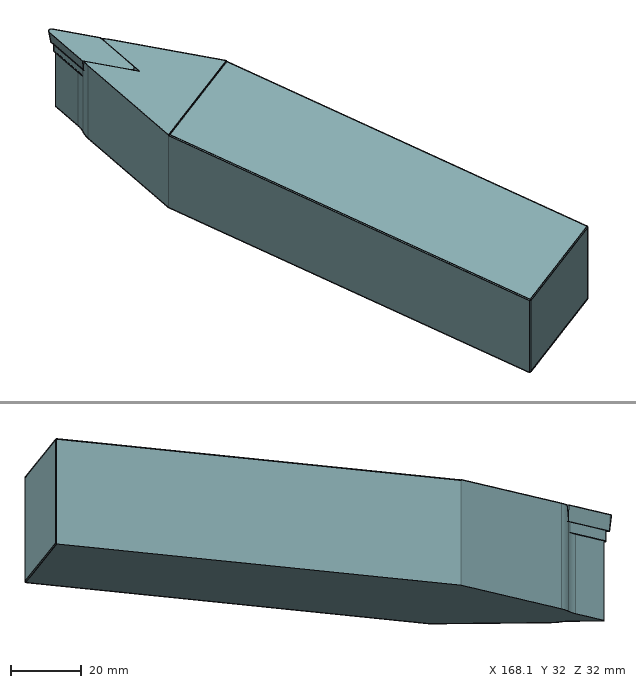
import cadquery as cq
import math

overall_length = 168.14
shank_width = 32.0
tool_height = 32.0
shank_chamfer = 0.3

point_angle = 35.0
inscribed_circle = 9.525
nose_radius = 0.8
insert_thickness = 4.76
relief_angle = 7.0

shim_thickness = 3.18
shim_inset = 0.7
shim_nose_radius = 0.5
support_inset = 1.0
support_nose_radius = 0.3
blend_shift = 0.2
blend_radius = 7.5

half_angle = math.radians(point_angle / 2)
sine = math.sin(half_angle)
cosine = math.cos(half_angle)
slope = math.tan(half_angle)
half_length = inscribed_circle / 2 / sine
half_width = inscribed_circle / 2 / cosine
flank_apex = -nose_radius * (1 / sine - 1)
insert_centre = flank_apex + half_length
pocket_apex = insert_centre + half_length
shank_start = flank_apex + shank_width / 2 / slope
seat_height = tool_height - insert_thickness
support_height = seat_height - shim_thickness
blend_half_length = math.sqrt(blend_radius * support_inset - support_inset**2 / 4)
blend_turn = math.asin(blend_half_length / blend_radius)


def flank_point(along, inset=0.0):
    """Point on the +Y flank, a distance along it from the insert's corner, moved inwards."""
    return (
        insert_centre + along * cosine + inset * sine,
        half_width + along * sine - inset * cosine,
    )


def mirrored(point):
    """The same point on the -Y side."""
    return (point[0], -point[1])


def nose_points(inset, radius):
    """Tip and +Y tangent point of a rounded nose between two inset flanks."""
    centre = flank_apex + (inset + radius) / sine
    return (centre - radius, 0), (centre - radius * sine, radius * cosine)


def make_insert():
    """Insert with both sharp corners rounded, tapering downwards by its relief angle."""
    tip, tangent = nose_points(0, nose_radius)
    corner = (insert_centre, half_width)

    def far_end(point):
        """The same point at the rear end of the insert."""
        return (2 * insert_centre - point[0], point[1])

    return (
        cq.Workplane("XY", origin=(0, 0, tool_height))
        .moveTo(*mirrored(tangent))
        .threePointArc(tip, tangent)
        .lineTo(*corner)
        .lineTo(*far_end(tangent))
        .threePointArc(far_end(tip), far_end(mirrored(tangent)))
        .lineTo(*mirrored(corner))
        .close()
        .extrude(-insert_thickness, taper=relief_angle)
    )


def make_shank():
    """Square shank with its top and rear edges broken."""
    return (
        cq.Workplane("XY")
        .box(overall_length - shank_start, shank_width, tool_height, centered=(False, True, False))
        .translate((shank_start, 0, 0))
        .faces(">Z or >X")
        .edges()
        .chamfer(shank_chamfer)
    )


def make_head():
    """Tapered head that narrows through an S-shaped blend to the support under the insert."""
    tip, tangent = nose_points(support_inset, support_nose_radius)
    front_along = -blend_shift - blend_half_length
    back_along = -blend_shift + blend_half_length
    blend_front = flank_point(front_along, support_inset)
    blend_middle = flank_point(-blend_shift, support_inset / 2)
    blend_back = flank_point(back_along)
    arc_along = blend_radius * math.sin(blend_turn / 2)
    arc_rise = blend_radius * (1 - math.cos(blend_turn / 2))
    hollow = flank_point(front_along + arc_along, support_inset - arc_rise)
    crown = flank_point(back_along - arc_along, arc_rise)
    shoulder = (shank_start, shank_width / 2)
    return (
        cq.Workplane("XY")
        .moveTo(*mirrored(tangent))
        .threePointArc(tip, tangent)
        .lineTo(*blend_front)
        .threePointArc(hollow, blend_middle)
        .threePointArc(crown, blend_back)
        .lineTo(*shoulder)
        .lineTo(*mirrored(shoulder))
        .lineTo(*mirrored(blend_back))
        .threePointArc(mirrored(crown), mirrored(blend_middle))
        .threePointArc(mirrored(hollow), mirrored(blend_front))
        .close()
        .extrude(tool_height)
    )


def make_shim():
    """Seat plate under the insert, overhanging the support and running into the head."""
    tip, tangent = nose_points(shim_inset, shim_nose_radius)
    side = flank_point(0, shim_inset)
    return (
        cq.Workplane("XY", origin=(0, 0, support_height))
        .moveTo(*mirrored(tangent))
        .threePointArc(tip, tangent)
        .lineTo(*side)
        .lineTo(pocket_apex, 0)
        .lineTo(*mirrored(side))
        .close()
        .extrude(shim_thickness)
    )


def make_pocket():
    """V-shaped pocket, open to the front, whose walls lean with the insert's relief."""
    pocket_length = 2 * pocket_apex
    mouth = (pocket_apex - pocket_length, pocket_length * slope)
    return (
        cq.Workplane("XY", origin=(0, 0, tool_height))
        .moveTo(pocket_apex, 0)
        .lineTo(*mouth)
        .lineTo(*mirrored(mouth))
        .close()
        .extrude(-insert_thickness, taper=relief_angle)
    )


def make_holder():
    """One solid: head with the insert pocket, seat plate and shank."""
    return make_head().cut(make_pocket()).union(make_shim()).union(make_shank())


insert = make_insert()
holder = make_holder()
result = cq.Compound.makeCompound([holder.val(), insert.val()])